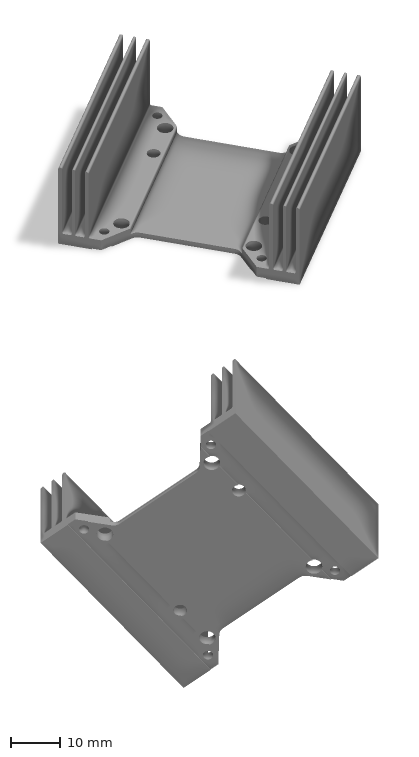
import cadquery as cq

WIDTH = 50.8
LENGTH = 46.0
HEIGHT = 19.5
HALF_WIDTH = WIDTH / 2
HALF_LENGTH = LENGTH / 2

RAIL_WIDTH = 13.65
RAIL_HEIGHT = 2.7
RAIL_EDGE_RADIUS = 0.35
WEB_THICKNESS = 1.2

FIN_PITCH = 2.8
OUTER_FIN_THICKNESS = 0.8
MIDDLE_FIN_THICKNESS = 0.65
FIN_THICKNESSES = [OUTER_FIN_THICKNESS, MIDDLE_FIN_THICKNESS, OUTER_FIN_THICKNESS]
FIN_ROOT_RADIUS = 0.3

RELIEF_START = 7.05
RELIEF_WIDTH = 3.65
RELIEF_DEPTH = 0.2

RECESS_DEPTH = 6.4
RECESS_MOUTH_INSET = 9.05
RECESS_FLOOR_INSET = 14.55
RECESS_CORNER_RADIUS = 2.05

SMALL_HOLE_DIAMETER = 2.1
SMALL_HOLE_INSET = 8.85
SMALL_HOLE_END_DISTANCE = 3.05
LARGE_HOLE_DIAMETER = 3.35
LARGE_HOLE_INSET = 11.5
LARGE_HOLE_END_DISTANCE = 6.55
OFFSET_HOLE_DIAMETER = 2.8
OFFSET_HOLE_END_DISTANCE = 15.3


def block(x_start, x_size, z_start, z_size):
    """Full-length bar placed by its lowest X and Z."""
    return (
        cq.Workplane("XY")
        .box(x_size, LENGTH, z_size, centered=(False, True, False))
        .translate((x_start, 0, z_start))
    )


def root_fillet(x_wall, direction):
    """Concave fillet strip between a fin wall and the top of the rail."""
    r = FIN_ROOT_RADIUS
    strip = block(min(x_wall, x_wall + direction * r), r, RAIL_HEIGHT, r)
    round_cutter = (
        cq.Workplane("XZ", origin=(x_wall + direction * r, HALF_LENGTH, RAIL_HEIGHT + r))
        .circle(r)
        .extrude(LENGTH)
    )
    return strip.cut(round_cutter)


def fin(center, thickness):
    """Upright fin with a fully rounded tip, rising from the bottom of the rail."""
    radius = thickness / 2
    tip_center = HEIGHT - radius
    return (
        cq.Workplane("XZ", origin=(0, HALF_LENGTH, 0))
        .moveTo(center - radius, 0)
        .lineTo(center - radius, tip_center)
        .threePointArc((center, HEIGHT), (center + radius, tip_center))
        .lineTo(center + radius, 0)
        .close()
        .extrude(LENGTH)
    )


def left_rail():
    rail = block(-HALF_WIDTH, RAIL_WIDTH, 0, RAIL_HEIGHT)
    rail = rail.edges(">X and >Z").fillet(RAIL_EDGE_RADIUS)
    rail = rail.cut(block(-HALF_WIDTH + RELIEF_START, RELIEF_WIDTH, 0, RELIEF_DEPTH))
    first_center = -HALF_WIDTH + OUTER_FIN_THICKNESS / 2
    for index, thickness in enumerate(FIN_THICKNESSES):
        center = first_center + index * FIN_PITCH
        rail = rail.union(fin(center, thickness))
        rail = rail.union(root_fillet(center + thickness / 2, 1))
        if index > 0:
            rail = rail.union(root_fillet(center - thickness / 2, -1))
    return rail


def end_recess():
    """Cutter for the recess in the +Y end."""
    mouth = HALF_WIDTH - RECESS_MOUTH_INSET
    floor = HALF_WIDTH - RECESS_FLOOR_INSET
    floor_y = HALF_LENGTH - RECESS_DEPTH
    return (
        cq.Workplane("XY")
        .polyline([(-mouth, HALF_LENGTH), (-floor, floor_y), (floor, floor_y), (mouth, HALF_LENGTH)])
        .close()
        .extrude(RAIL_HEIGHT)
        .edges("|Z and <Y")
        .fillet(RECESS_CORNER_RADIUS)
    )


def holes(points, diameter):
    return cq.Workplane("XY").pushPoints(points).circle(diameter / 2).extrude(RAIL_HEIGHT)


def corner_points(inset, end_distance):
    """Four points mirrored about both centre planes."""
    x = HALF_WIDTH - inset
    y = HALF_LENGTH - end_distance
    return [(-x, -y), (x, -y), (-x, y), (x, y)]


rail = left_rail()
body = block(-HALF_WIDTH + RAIL_WIDTH, WIDTH - 2 * RAIL_WIDTH, 0, WEB_THICKNESS)
body = body.union(rail).union(rail.mirror("YZ"))

recess = end_recess()
body = body.cut(recess).cut(recess.mirror("XZ"))

small_points = corner_points(SMALL_HOLE_INSET, SMALL_HOLE_END_DISTANCE)
body = body.cut(holes(small_points, SMALL_HOLE_DIAMETER))
large_points = corner_points(LARGE_HOLE_INSET, LARGE_HOLE_END_DISTANCE)
body = body.cut(holes(large_points, LARGE_HOLE_DIAMETER))

offset_x = HALF_WIDTH - LARGE_HOLE_INSET
offset_y = HALF_LENGTH - OFFSET_HOLE_END_DISTANCE
offset_points = [(-offset_x, offset_y), (offset_x, -offset_y)]
result = body.cut(holes(offset_points, OFFSET_HOLE_DIAMETER))